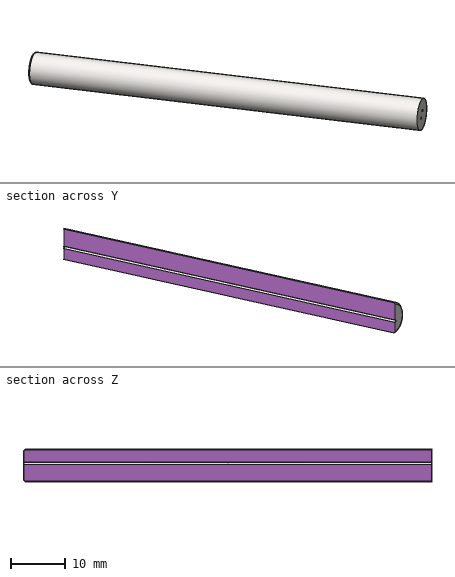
import cadquery as cq

length = 75.0
diameter = 6.0
end_chamfer = 0.3

hole_diameter = 0.4
hole_offset_y = 0.4
hole_offset_z = 0.6
hole_centers = [(hole_offset_y, hole_offset_z), (-hole_offset_y, -hole_offset_z)]

rod = cq.Workplane("YZ").circle(diameter / 2).extrude(length / 2, both=True)
rod = rod.faces("<X").chamfer(end_chamfer)

holes = (
    cq.Workplane("YZ")
    .pushPoints(hole_centers)
    .circle(hole_diameter / 2)
    .extrude(length / 2, both=True)
)

result = rod.cut(holes)